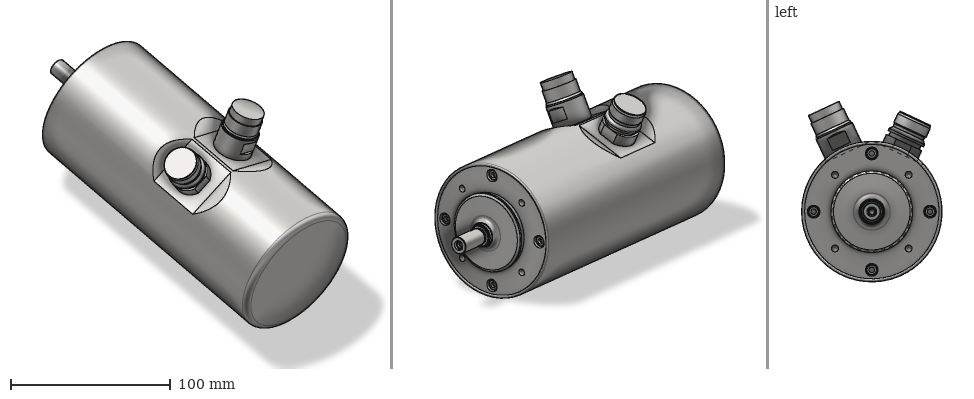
import cadquery as cq
import math


TOTAL_LENGTH = 226.0
BODY_DIA = 88.0
BODY_RADIUS = BODY_DIA / 2
FLANGE_X = 35.5
RIM_BEAD_RADIUS = 0.97
REAR_EDGE_RADIUS = 3.8
REAR_CONE_RISE = 0.8

PILOT_DIA = 51.0
PILOT_RELIEF_DIA = 49.7
PILOT_RELIEF_X = 32.0
PILOT_FACE_X = 29.5
PILOT_CHAMFER_LENGTH = 1.0
PILOT_CHAMFER_DEPTH = 1.5
PILOT_CONE_X = 28.7
PILOT_CONE_DIA = 23.0

SHAFT_DIA = 11.0
SHAFT_LENGTH = 20.5
SHAFT_CHAMFER = 0.35
NECK_DIA = 10.5
SEAL_LIP_DIA = 13.0
SEAL_RING_DIA = 15.0
SEAL_RING_CHAMFER = 0.5
COLLAR_DIA = 16.0
SEAL_LIP_X = 22.1
SEAL_RING_X = 23.0
COLLAR_X = 25.3

CENTRE_BORE_DIA = 6.0
CENTRE_PILOT_DIA = 4.5
CENTRE_DRILL_DIA = 3.5
CENTRE_BORE_DEPTH = 1.8
CENTRE_PILOT_DEPTH = 3.6
CENTRE_DRILL_DEPTH = 9.0

TAPPED_DIA = 4.3
TAPPED_DEPTH = 9.0
TAPPED_CIRCLE_RADIUS = 32.5
DRILL_TIP_ANGLE = 118.0
SCREW_CIRCLE_RADIUS = 36.4
SCREW_RECESS_DIA = 8.0
SCREW_RECESS_DEPTH = 2.7
SCREW_HEAD_DIA = 7.0
SCREW_HEAD_HEIGHT = 1.5
SCREW_HEAD_CHAMFER = 0.56
SCREW_SOCKET_DIA = 3.5
SCREW_SOCKET_DEPTH = 2.3
HOLES_PER_CIRCLE = 4

SEAT_X = 145.0
SEAT_TILT = 25.0
SEAT_RADIUS = 40.2
SEAT_LENGTH = 36.2
SEAT_END_SLOPE = 20.0
SEAT_CUT_WIDTH = 67.8
SEAT_CUT_HEIGHT = 9.0

FLATS_WIDTH = 22.0

TALL_TOP = 71.2
TALL_TIP_DIA = 21.2
TALL_TIP_BASE = 66.0
TALL_SLEEVE_DIA = 22.5
TALL_SLEEVE_BASE = 58.0
TALL_RING_DIA = 24.2
TALL_RING_BASE = 56.5
TALL_GROOVE_DIA = 23.0
TALL_GROOVE_BASE = 55.5
TALL_BASE_DIA = 25.0
TALL_FLAT_TOP = 52.9
TALL_FLAT_BOTTOM = 45.0
TALL_FLAT_RUNOUT = 1.0

SHORT_TOP = 64.5
SHORT_THREAD_DIA = 22.4
SHORT_THREAD_BASE = 56.5
SHORT_TIP_DIA = 21.2
SHORT_TIP_HEIGHT = 0.7
SHORT_THREAD_TOP = 62.4
SHORT_GROOVE_DIA = 21.0
SHORT_GROOVE_TOP = 55.8
SHORT_GROOVE_BASE = 54.0
SHORT_SHOULDER_DIA = 23.5
SHORT_SHOULDER_TOP = 52.5
SHORT_COLLAR_DIA = 24.5
SHORT_COLLAR_TOP = 51.8
SHORT_COLLAR_BASE = 50.5
SHORT_NECK_DIA = 21.2
SHORT_BASE_TOP = 47.7
SHORT_BASE_DIA = 24.5


def turned_motor():
    """Shaft, seal, pilot, flange with its raised rim, and cylindrical body, turned about the X axis."""
    pilot_radius = PILOT_DIA / 2
    rear_rim_x = TOTAL_LENGTH - REAR_CONE_RISE
    fillet_mid = math.sqrt(0.5)
    flare_axial = PILOT_CONE_X - COLLAR_X
    flare_radial = (PILOT_CONE_DIA - COLLAR_DIA) / 2
    flare_mid = (
        COLLAR_X + flare_axial * fillet_mid,
        COLLAR_DIA / 2 + flare_radial * (1 - fillet_mid),
    )
    rim_bead_tip = (FLANGE_X - RIM_BEAD_RADIUS, BODY_RADIUS - RIM_BEAD_RADIUS)
    rear_edge_mid = (
        rear_rim_x - REAR_EDGE_RADIUS * (1 - fillet_mid),
        BODY_RADIUS - REAR_EDGE_RADIUS * (1 - fillet_mid),
    )
    return (
        cq.Workplane("XY")
        .moveTo(0, 0)
        .lineTo(0, SHAFT_DIA / 2 - SHAFT_CHAMFER)
        .lineTo(SHAFT_CHAMFER, SHAFT_DIA / 2)
        .lineTo(SHAFT_LENGTH, SHAFT_DIA / 2)
        .lineTo(SHAFT_LENGTH, NECK_DIA / 2)
        .lineTo(SEAL_LIP_X, NECK_DIA / 2)
        .lineTo(SEAL_LIP_X, SEAL_LIP_DIA / 2)
        .lineTo(SEAL_RING_X, SEAL_LIP_DIA / 2)
        .lineTo(SEAL_RING_X, SEAL_RING_DIA / 2 - SEAL_RING_CHAMFER)
        .lineTo(SEAL_RING_X + SEAL_RING_CHAMFER, SEAL_RING_DIA / 2)
        .lineTo(COLLAR_X, SEAL_RING_DIA / 2)
        .lineTo(COLLAR_X, COLLAR_DIA / 2)
        .threePointArc(flare_mid, (PILOT_CONE_X, PILOT_CONE_DIA / 2))
        .lineTo(PILOT_FACE_X, pilot_radius - PILOT_CHAMFER_DEPTH)
        .lineTo(PILOT_FACE_X + PILOT_CHAMFER_LENGTH, pilot_radius)
        .lineTo(PILOT_RELIEF_X, pilot_radius)
        .lineTo(PILOT_RELIEF_X, PILOT_RELIEF_DIA / 2)
        .lineTo(FLANGE_X, PILOT_RELIEF_DIA / 2)
        .lineTo(FLANGE_X, BODY_RADIUS - 2 * RIM_BEAD_RADIUS)
        .threePointArc(rim_bead_tip, (FLANGE_X, BODY_RADIUS))
        .lineTo(rear_rim_x - REAR_EDGE_RADIUS, BODY_RADIUS)
        .threePointArc(rear_edge_mid, (rear_rim_x, BODY_RADIUS - REAR_EDGE_RADIUS))
        .lineTo(TOTAL_LENGTH, 0)
        .close()
        .revolve(360, (0, 0, 0), (1, 0, 0))
    )


def drill_tip_length(diameter):
    """Length of the conical end of a drilled hole."""
    return diameter / 2 / math.tan(math.radians(DRILL_TIP_ANGLE / 2))


def centre_hole():
    """Stepped centre hole in the shaft tip."""
    tip_x = CENTRE_DRILL_DEPTH + drill_tip_length(CENTRE_DRILL_DIA)
    return (
        cq.Workplane("XY")
        .moveTo(0, 0)
        .lineTo(0, CENTRE_BORE_DIA / 2)
        .lineTo(CENTRE_BORE_DEPTH, CENTRE_BORE_DIA / 2)
        .lineTo(CENTRE_BORE_DEPTH, CENTRE_PILOT_DIA / 2)
        .lineTo(CENTRE_PILOT_DEPTH, CENTRE_PILOT_DIA / 2)
        .lineTo(CENTRE_PILOT_DEPTH, CENTRE_DRILL_DIA / 2)
        .lineTo(CENTRE_DRILL_DEPTH, CENTRE_DRILL_DIA / 2)
        .lineTo(tip_x, 0)
        .close()
        .revolve(360, (0, 0, 0), (1, 0, 0))
    )


def tapped_hole():
    """Blind flange hole with a drill tip, on the motor axis before placing."""
    bottom_x = FLANGE_X + TAPPED_DEPTH
    return (
        cq.Workplane("XY")
        .moveTo(FLANGE_X, 0)
        .lineTo(FLANGE_X, TAPPED_DIA / 2)
        .lineTo(bottom_x, TAPPED_DIA / 2)
        .lineTo(bottom_x + drill_tip_length(TAPPED_DIA), 0)
        .close()
        .revolve(360, (0, 0, 0), (1, 0, 0))
    )


def screw_recess():
    """Space around a sunk screw head and in its socket, on the motor axis before placing."""
    floor_x = FLANGE_X + SCREW_RECESS_DEPTH
    head_x = floor_x - SCREW_HEAD_HEIGHT
    head_radius = SCREW_HEAD_DIA / 2
    return (
        cq.Workplane("XY")
        .moveTo(FLANGE_X, 0)
        .lineTo(FLANGE_X, SCREW_RECESS_DIA / 2)
        .lineTo(floor_x, SCREW_RECESS_DIA / 2)
        .lineTo(floor_x, head_radius)
        .lineTo(head_x + SCREW_HEAD_CHAMFER, head_radius)
        .lineTo(head_x, head_radius - SCREW_HEAD_CHAMFER)
        .lineTo(head_x, SCREW_SOCKET_DIA / 2)
        .lineTo(head_x + SCREW_SOCKET_DEPTH, SCREW_SOCKET_DIA / 2)
        .lineTo(head_x + SCREW_SOCKET_DEPTH, 0)
        .close()
        .revolve(360, (0, 0, 0), (1, 0, 0))
    )


def around_axis(shape, circle_radius, start_angle):
    """Equally spaced copies of a shape on a circle about the motor axis."""
    copies = []
    for index in range(HOLES_PER_CIRCLE):
        angle = start_angle + index * 360 / HOLES_PER_CIRCLE
        placed = shape.translate((0, 0, circle_radius))
        copies.append(placed.rotate((0, 0, 0), (1, 0, 0), angle))
    return copies


def tilted(shape, tilt):
    """Leans an upright shape about the motor axis; a positive tilt leans toward +Y."""
    return shape.rotate((0, 0, 0), (1, 0, 0), -tilt)


def seat_cut():
    """Upright cut that leaves a flat connector seat with a sloped face at each end."""
    half_floor = SEAT_LENGTH / 2
    half_top = half_floor + SEAT_CUT_HEIGHT / math.tan(math.radians(SEAT_END_SLOPE))
    top = SEAT_RADIUS + SEAT_CUT_HEIGHT
    return (
        cq.Workplane("XZ")
        .polyline([
            (SEAT_X - half_floor, SEAT_RADIUS),
            (SEAT_X + half_floor, SEAT_RADIUS),
            (SEAT_X + half_top, top),
            (SEAT_X - half_top, top),
        ])
        .close()
        .extrude(SEAT_CUT_WIDTH / 2, both=True)
    )


def make_motor():
    motor = turned_motor().cut(centre_hole())
    for hole in around_axis(tapped_hole(), TAPPED_CIRCLE_RADIUS, 180 / HOLES_PER_CIRCLE):
        motor = motor.cut(hole)
    for recess in around_axis(screw_recess(), SCREW_CIRCLE_RADIUS, 0):
        motor = motor.cut(recess)
    for tilt in (SEAT_TILT, -SEAT_TILT):
        motor = motor.cut(tilted(seat_cut(), tilt))
    return motor


def turned_connector(profile):
    """Upright connector turned from (diameter, height) points, listed from seat to top."""
    outline = cq.Workplane("XZ").moveTo(0, SEAT_RADIUS)
    for diameter, height in profile:
        outline = outline.lineTo(diameter / 2, height)
    top = profile[-1][1]
    turned = outline.lineTo(0, top).close().revolve(360, (0, 0, 0), (0, 1, 0))
    return turned.translate((SEAT_X, 0, 0))


def cut_wrench_flats(connector, base_dia, bottom, top, runout):
    """Cuts two parallel flats, facing -X and +X; each runs out upward over a sloped face."""
    inner = FLATS_WIDTH / 2
    outer = base_dia / 2
    for side in (-1, 1):
        block = (
            cq.Workplane("XZ")
            .polyline([
                (SEAT_X + side * inner, bottom),
                (SEAT_X + side * outer, bottom),
                (SEAT_X + side * outer, top + runout),
                (SEAT_X + side * inner, top),
            ])
            .close()
            .extrude(outer, both=True)
        )
        connector = connector.cut(block)
    return connector


def make_tall_connector():
    profile = [
        (TALL_BASE_DIA, SEAT_RADIUS),
        (TALL_BASE_DIA, TALL_GROOVE_BASE),
        (TALL_GROOVE_DIA, TALL_GROOVE_BASE),
        (TALL_GROOVE_DIA, TALL_RING_BASE),
        (TALL_RING_DIA, TALL_RING_BASE),
        (TALL_SLEEVE_DIA, TALL_SLEEVE_BASE),
        (TALL_SLEEVE_DIA, TALL_TIP_BASE),
        (TALL_TIP_DIA, TALL_TIP_BASE),
        (TALL_TIP_DIA, TALL_TOP),
    ]
    upright = turned_connector(profile)
    upright = cut_wrench_flats(
        upright, TALL_BASE_DIA, TALL_FLAT_BOTTOM, TALL_FLAT_TOP, TALL_FLAT_RUNOUT
    )
    return tilted(upright, SEAT_TILT)


def make_short_connector():
    profile = [
        (SHORT_BASE_DIA, SEAT_RADIUS),
        (SHORT_BASE_DIA, SHORT_BASE_TOP),
        (SHORT_NECK_DIA, SHORT_BASE_TOP),
        (SHORT_NECK_DIA, SHORT_COLLAR_BASE),
        (SHORT_COLLAR_DIA, SHORT_COLLAR_BASE),
        (SHORT_COLLAR_DIA, SHORT_COLLAR_TOP),
        (SHORT_SHOULDER_DIA, SHORT_SHOULDER_TOP),
        (SHORT_GROOVE_DIA, SHORT_GROOVE_BASE),
        (SHORT_GROOVE_DIA, SHORT_GROOVE_TOP),
        (SHORT_THREAD_DIA, SHORT_THREAD_BASE),
        (SHORT_THREAD_DIA, SHORT_THREAD_TOP),
        (SHORT_TIP_DIA, SHORT_TOP - SHORT_TIP_HEIGHT),
        (SHORT_TIP_DIA, SHORT_TOP),
    ]
    upright = turned_connector(profile)
    upright = cut_wrench_flats(upright, SHORT_BASE_DIA, SEAT_RADIUS, SHORT_BASE_TOP, 0)
    return tilted(upright, -SEAT_TILT)


motor = make_motor()
tall_connector = make_tall_connector()
short_connector = make_short_connector()

result = cq.Compound.makeCompound([
    motor.val(),
    tall_connector.val(),
    short_connector.val(),
])